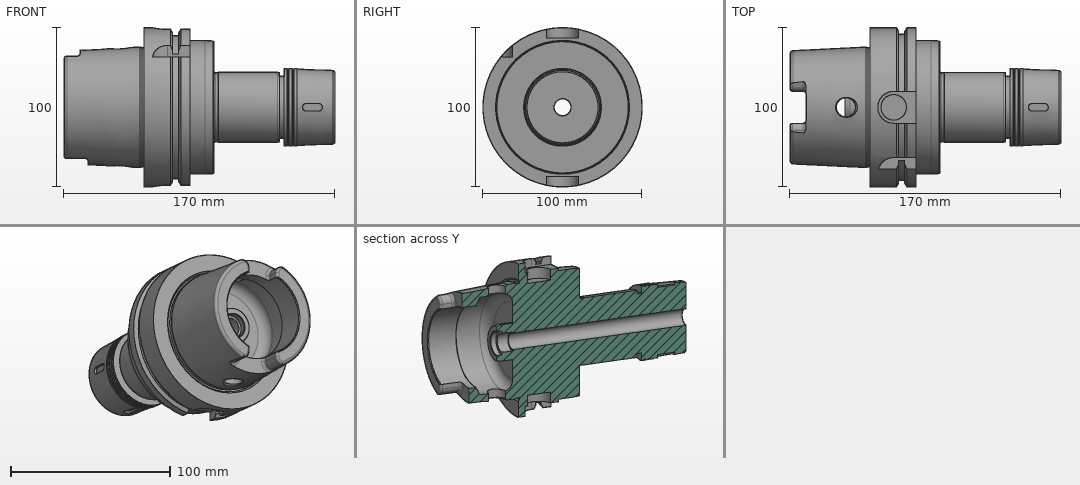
import cadquery as cq
import math


EDGE_TOLERANCE = 0.1

shank_length = 50.0
taper_gauge_x = -10.0
taper_gauge_diameter = 75.0
taper_ratio = 0.1
shank_tip_round = 2.0
finger_edge_round = 1.5
undercut_x = -2.3
undercut_floor_x = -1.2
undercut_radius = 37.4
face_recess_depth = 1.0
face_recess_radius = 39.6

flange_diameter = 100.0
flange_width = 29.0
groove_x = 20.0
groove_floor_width = 3.75
groove_diameter = 92.0
groove_lip_width = 6.6
groove_wall_angle = math.radians(30)

collar_diameter = 84.0
collar_straight_end = 38.5
collar_end = 44.0
collar_end_diameter = 83.4
collar_chamfer = 0.5
neck_diameter = 44.0
neck_relief_diameter = 43.6
neck_relief_end = 46.5
neck_relief_taper = 0.5
neck_base_fillet = 0.9
neck_end = 85.0
neck_chamfer_length = 1.0
neck_chamfer_depth = 0.3
thread_relief_diameter = 39.0

nut_start = 88.0
nut_end = 120.0
nut_diameter = 48.8
nut_taper_diameter = 48.2
nut_front_diameter = 46.4
nut_taper_start = 96.2
nut_chamfer_length = 1.3
nut_chamfer_depth = 0.9
nut_groove_positions = (90.5, 93.7)
nut_groove_width = 1.3
nut_groove_floor_width = 0.6
nut_groove_depth = 0.7
wrench_slot_count = 4
wrench_slot_x = 105.8
wrench_slot_length = 12.4
wrench_slot_width = 4.8
wrench_slot_floor_radius = 22.0

mouth_diameter = 53.0
mouth_chamfer = 0.6
mouth_length = 20.0
chamber_diameter = 63.0
chamber_flare_angle = math.radians(60)
chamber_floor_x = -4.0
chamber_floor_fillet = 6.4

coolant_nut_diameter = 24.0
coolant_nut_face_diameter = 22.3
coolant_nut_face_x = -15.6
coolant_nut_bevel_end_x = -12.5
socket_mouth_diameter = 16.0
socket_diameter = 15.3
socket_depth = 4.0
coolant_bore_diameter = 12.0
through_hole_diameter = 10.5

drive_slot_width = 20.0
drive_slot_depths = {1: 10.0, -1: 15.0}
drive_slot_flare_z = 32.1
drive_slot_flare_radius = 4.6
drive_slot_floor_fillet = 1.9

access_hole_diameter = 12.0
access_hole_x = -15.0
countersink_start_z = 36.45
countersink_height = 2.0

keyway_width = 20.0
keyway_center_x = 15.0
keyway_floor_z = 43.5
keyway_hole_diameter = 16.0
keyway_hole_depth = 7.0
notch_wall_y = -31.5
notch_floor_z = 31.5


def taper_radius(x):
    """Radius of the shank taper at x."""
    return (taper_gauge_diameter + taper_ratio * (x - taper_gauge_x)) / 2


def revolve_about_x(profile):
    """Full turn of a closed XY profile about the X axis."""
    return profile.revolve(360, (0, 0, 0), (1, 0, 0))


def make_shank_and_flange():
    """Taper shank with undercut, and the flange with its gripper groove."""
    tip_x = -shank_length
    tip_r = taper_radius(tip_x)
    flange_r = flange_diameter / 2
    floor_r = groove_diameter / 2
    half_floor = groove_floor_width / 2
    half_lip = groove_lip_width / 2
    lip_depth = (half_lip - half_floor) / math.tan(groove_wall_angle)
    points = [
        (tip_x, 0),
        (tip_x, tip_r),
        (undercut_x, taper_radius(undercut_x)),
        (undercut_floor_x, undercut_radius),
        (face_recess_depth, undercut_radius),
        (face_recess_depth, face_recess_radius - face_recess_depth),
        (0, face_recess_radius),
        (0, flange_r),
        (groove_x - half_lip, flange_r),
        (groove_x - half_floor, flange_r - lip_depth),
        (groove_x - half_floor, floor_r),
        (groove_x + half_floor, floor_r),
        (groove_x + half_floor, flange_r - lip_depth),
        (groove_x + half_lip, flange_r),
        (flange_width, flange_r),
        (flange_width, 0),
    ]
    return revolve_about_x(cq.Workplane("XY").polyline(points).close())


def make_collar_and_neck():
    """Collar behind the flange, neck and thread relief, up to the nut."""
    collar_r = collar_diameter / 2
    collar_end_r = collar_end_diameter / 2
    neck_r = neck_diameter / 2
    relief_r = neck_relief_diameter / 2
    thread_r = thread_relief_diameter / 2
    profile = (
        cq.Workplane("XY")
        .moveTo(flange_width, 0)
        .lineTo(flange_width, collar_r)
        .lineTo(collar_straight_end, collar_r)
        .lineTo(collar_end - collar_chamfer, collar_end_r)
        .lineTo(collar_end, collar_end_r - collar_chamfer)
        .lineTo(collar_end, relief_r + neck_base_fillet)
        .radiusArc((collar_end + neck_base_fillet, relief_r), -neck_base_fillet)
        .lineTo(neck_relief_end, relief_r)
        .lineTo(neck_relief_end + neck_relief_taper, neck_r)
        .lineTo(neck_end - neck_chamfer_length, neck_r)
        .lineTo(neck_end, neck_r - neck_chamfer_depth)
        .lineTo(neck_end, thread_r)
        .lineTo(nut_start, thread_r)
        .lineTo(nut_start, 0)
        .close()
    )
    return revolve_about_x(profile)


def make_nut():
    """Collet nut: grooved rear band, slightly tapered front, wrench slots."""
    nut_r = nut_diameter / 2
    front_r = nut_front_diameter / 2
    points = [(nut_start, 0), (nut_start, nut_r)]
    for x in nut_groove_positions:
        points += [
            (x - nut_groove_width / 2, nut_r),
            (x - nut_groove_floor_width / 2, nut_r - nut_groove_depth),
            (x + nut_groove_floor_width / 2, nut_r - nut_groove_depth),
            (x + nut_groove_width / 2, nut_r),
        ]
    points += [
        (nut_taper_start, nut_r),
        (nut_taper_start, nut_taper_diameter / 2),
        (nut_end - nut_chamfer_length, front_r),
        (nut_end, front_r - nut_chamfer_depth),
        (nut_end, 0),
    ]
    nut = revolve_about_x(cq.Workplane("XY").polyline(points).close())
    slot = (
        cq.Workplane("XY", origin=(wrench_slot_x, 0, wrench_slot_floor_radius))
        .slot2D(wrench_slot_length, wrench_slot_width)
        .extrude(nut_r)
    )
    for i in range(wrench_slot_count):
        angle = 360 / wrench_slot_count * i
        nut = nut.cut(slot.rotate((0, 0, 0), (1, 0, 0), angle))
    return nut


def make_cavity():
    """Mouth bore that flares out into a wider chamber with a rounded floor."""
    tip_x = -shank_length
    mouth_r = mouth_diameter / 2
    chamber_r = chamber_diameter / 2
    flare_x = tip_x + mouth_length
    flare_end_x = flare_x + (chamber_r - mouth_r) / math.tan(chamber_flare_angle)
    profile = (
        cq.Workplane("XY")
        .moveTo(tip_x, 0)
        .lineTo(tip_x, mouth_r + mouth_chamfer)
        .lineTo(tip_x + mouth_chamfer, mouth_r)
        .lineTo(flare_x, mouth_r)
        .lineTo(flare_end_x, chamber_r)
        .lineTo(chamber_floor_x - chamber_floor_fillet, chamber_r)
        .radiusArc((chamber_floor_x, chamber_r - chamber_floor_fillet), chamber_floor_fillet)
        .lineTo(chamber_floor_x, 0)
        .close()
    )
    return revolve_about_x(profile)


def make_coolant_nut():
    """Nut on the chamber floor with a slender bevel toward the shank mouth."""
    nut_r = coolant_nut_diameter / 2
    points = [
        (coolant_nut_face_x, 0),
        (coolant_nut_face_x, coolant_nut_face_diameter / 2),
        (coolant_nut_bevel_end_x, nut_r),
        (chamber_floor_x, nut_r),
        (chamber_floor_x, 0),
    ]
    return revolve_about_x(cq.Workplane("XY").polyline(points).close())


def make_coolant_bore():
    """Stepped bore along X: chamfered socket in the nut, wider bore, through hole."""
    socket_r = socket_diameter / 2
    mouth_r = socket_mouth_diameter / 2
    bore_r = coolant_bore_diameter / 2
    hole_r = through_hole_diameter / 2
    socket_end_x = coolant_nut_face_x + socket_depth
    points = [
        (coolant_nut_face_x, 0),
        (coolant_nut_face_x, mouth_r),
        (coolant_nut_face_x + mouth_r - socket_r, socket_r),
        (socket_end_x, socket_r),
        (socket_end_x, bore_r),
        (chamber_floor_x, bore_r),
        (chamber_floor_x, hole_r),
        (nut_end, hole_r),
        (nut_end, 0),
    ]
    return revolve_about_x(cq.Workplane("XY").polyline(points).close())


def make_drive_slot(side):
    """Slot across the shank mouth at +Z or -Z; its walls flare out near the taper."""
    half = drive_slot_width / 2
    reach = flange_diameter / 2
    flare_start_z = drive_slot_flare_z - drive_slot_flare_radius
    flare_y = half + drive_slot_flare_radius
    slot = (
        cq.Workplane("YZ", origin=(-shank_length, 0, 0))
        .moveTo(-half, 0)
        .lineTo(-half, flare_start_z)
        .radiusArc((-flare_y, drive_slot_flare_z), -drive_slot_flare_radius)
        .lineTo(-reach, drive_slot_flare_z)
        .lineTo(-reach, reach)
        .lineTo(reach, reach)
        .lineTo(reach, drive_slot_flare_z)
        .lineTo(flare_y, drive_slot_flare_z)
        .radiusArc((half, flare_start_z), -drive_slot_flare_radius)
        .lineTo(half, 0)
        .close()
        .extrude(drive_slot_depths[side])
    )
    floor_x = drive_slot_depths[side] - shank_length
    floor_edges = cq.selectors.BoxSelector(
        (floor_x - EDGE_TOLERANCE, -reach, EDGE_TOLERANCE),
        (floor_x + EDGE_TOLERANCE, reach, drive_slot_flare_z + EDGE_TOLERANCE),
    )
    slot = slot.edges(floor_edges).fillet(drive_slot_floor_fillet)
    if side < 0:
        slot = slot.mirror("XY")
    return slot


def make_access_hole():
    """Hole through the shank wall at +Z with a 45 degree countersink."""
    radius = access_hole_diameter / 2
    base = cq.Workplane("XY", origin=(access_hole_x, 0, 0))
    hole = base.circle(radius).extrude(countersink_start_z + countersink_height)
    center = cq.Vector(access_hole_x, 0, countersink_start_z)
    cone = cq.Solid.makeCone(
        radius, radius + countersink_height, countersink_height, center, cq.Vector(0, 0, 1)
    )
    return hole.union(cq.Workplane(cone)).cut(base.circle(radius).extrude(mouth_diameter / 2))


def make_keyway():
    """Round-ended keyway at +Z, open to the rear of the flange, with a hole in its floor."""
    reach = flange_diameter / 2
    height = reach - keyway_floor_z
    floor = cq.Workplane("XY", origin=(0, 0, keyway_floor_z))
    run = flange_width - keyway_center_x
    keyway = floor.center(keyway_center_x, 0).circle(keyway_width / 2).extrude(height)
    keyway = keyway.union(
        floor.center(keyway_center_x + run / 2, 0).rect(run, keyway_width).extrude(height)
    )
    hole = floor.center(keyway_center_x, 0).circle(keyway_hole_diameter / 2)
    return keyway.union(hole.extrude(-keyway_hole_depth))


def make_orientation_notch():
    """Corner notch toward -Y and +Z with the same cutter radius as the keyways."""
    radius = keyway_width / 2
    reach = flange_diameter / 2
    height = reach - notch_floor_z
    run = flange_width - keyway_center_x
    floor = cq.Workplane("XY", origin=(0, 0, notch_floor_z))
    round_end = floor.center(keyway_center_x, notch_wall_y - radius).circle(radius).extrude(height)
    straight = (
        floor.center(keyway_center_x + run / 2, notch_wall_y - radius)
        .rect(run, keyway_width)
        .extrude(height)
    )
    return round_end.union(straight)


def round_finger_edges(body):
    """Round the edges where the drive slot walls meet the shank end face."""
    slot_reach = drive_slot_width / 2 + drive_slot_flare_radius + EDGE_TOLERANCE
    wall_edges = cq.selectors.BoxSelector(
        (-shank_length - EDGE_TOLERANCE, -slot_reach, -drive_slot_flare_z - EDGE_TOLERANCE),
        (-shank_length + EDGE_TOLERANCE, slot_reach, drive_slot_flare_z + EDGE_TOLERANCE),
    )
    return body.edges(wall_edges).fillet(finger_edge_round)


def make_tip_rim_cutter():
    """Ring that rounds the outer rim of the shank end face."""
    tip_x = -shank_length
    rim_r = taper_radius(tip_x)
    round_end_r = taper_radius(tip_x + shank_tip_round)
    outer_r = flange_diameter / 2
    profile = (
        cq.Workplane("XY")
        .moveTo(tip_x, rim_r - shank_tip_round)
        .radiusArc((tip_x + shank_tip_round, round_end_r), shank_tip_round)
        .lineTo(tip_x + shank_tip_round, outer_r)
        .lineTo(tip_x, outer_r)
        .close()
    )
    return revolve_about_x(profile)


body = make_shank_and_flange()
for side in drive_slot_depths:
    body = body.cut(make_drive_slot(side))
body = round_finger_edges(body).cut(make_tip_rim_cutter())

body = body.union(make_collar_and_neck()).union(make_nut())
body = body.cut(make_cavity()).union(make_coolant_nut()).cut(make_coolant_bore())

access_hole = make_access_hole()
keyway = make_keyway()
for angle in (0, 180):
    body = body.cut(access_hole.rotate((0, 0, 0), (1, 0, 0), angle))
    body = body.cut(keyway.rotate((0, 0, 0), (1, 0, 0), angle))
body = body.cut(make_orientation_notch())

result = body